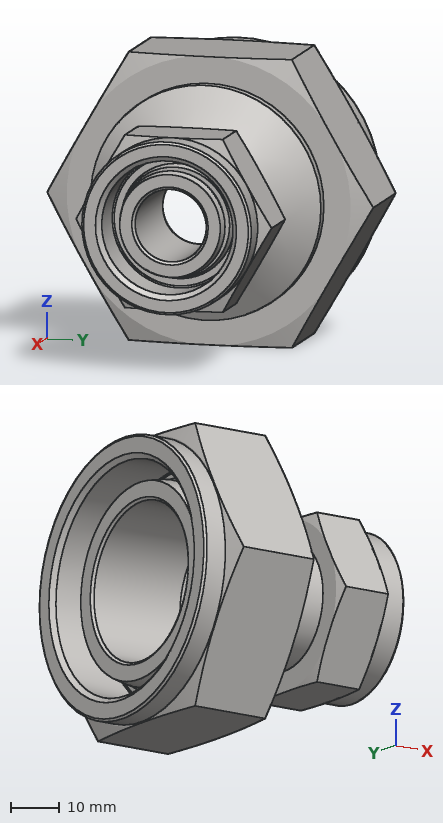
import cadquery as cq
import math

LENGTH = 58.3
CONE_SLOPE = math.tan(math.radians(12))
HEX_CHAMFER_SLOPE = math.tan(math.radians(15))
CUT_MARGIN = 6.9

LARGE_FLATS = 60.0
LARGE_NUT_LENGTH = 25.0
LARGE_COLLAR_RADIUS = 29.8
LARGE_COLLAR_LENGTH = 5.05
LARGE_HEX_FACE_RADIUS = 30.15
LARGE_BORE_RADIUS = 24.9
LARGE_MOUTH_RADIUS = 25.9

SMALL_FLATS = 35.95
SMALL_NUT_LENGTH = 17.4
SMALL_COLLAR_RADIUS = SMALL_FLATS / 2
SMALL_COLLAR_LENGTH = 5.5
SMALL_HEX_FACE_RADIUS = 18.15
SMALL_BORE_RADIUS = 13.9
SMALL_MOUTH_RADIUS = 14.95

COLLAR_CHAMFER = 0.5

LARGE_BODY_RADIUS = 24.45
NECK_RADIUS = 13.5
TAPER_START = 27.4
TAPER_END = 35.05
LARGE_TIP_X = 4.4
LARGE_SEAT_X = 13.5
LARGE_CONE_RADIUS = 22.8
SMALL_TIP_X = 55.2
SMALL_SEAT_X = 49.1
SMALL_CONE_RADIUS = 12.0
LARGE_GROOVE_TO_TIP = 3.3
LARGE_GROOVE_WIDTH = 2.9
LARGE_GROOVE_DEPTH = 1.4
SMALL_GROOVE_TO_TIP = 2.1
SMALL_GROOVE_WIDTH = 2.0
SMALL_GROOVE_DEPTH = 1.05
LARGE_PASSAGE_RADIUS = 16.9
SMALL_PASSAGE_RADIUS = 7.55
PASSAGE_TAPER_START = 26.45
PASSAGE_CHAMFER = 0.55


def revolve_about_x(points):
    """Solid of revolution about X from (x, radius) points."""
    return cq.Workplane("XY").polyline(points).close().revolve(360, (0, 0, 0), (1, 0, 0))


def chamfered_hexagon(flats, length, face_radius):
    """Hexagonal prism from x = 0, flats up and down, corners chamfered at both ends."""
    corner_diameter = flats / math.cos(math.radians(30))
    prism = cq.Workplane("YZ").polygon(6, corner_diameter).extrude(length)
    reach = corner_diameter / 2 + CUT_MARGIN
    setback = (reach - face_radius) * HEX_CHAMFER_SLOPE
    envelope = revolve_about_x([
        (0, 0),
        (0, face_radius),
        (setback, reach),
        (length - setback, reach),
        (length, face_radius),
        (length, 0),
    ])
    return prism.intersect(envelope)


def union_nut(flats, length, collar_radius, collar_length, face_radius,
              bore_radius, mouth_radius, seat_depth, rear_radius):
    """Nut with its open collar end at x = 0 and its rear bore fitting the adapter."""
    hexagon = chamfered_hexagon(flats, length - collar_length, face_radius)
    collar = cq.Workplane("YZ").circle(collar_radius).extrude(collar_length)
    collar = collar.faces("<X").chamfer(COLLAR_CHAMFER)
    mouth_depth = mouth_radius - bore_radius
    cavity = revolve_about_x([
        (0, 0),
        (0, mouth_radius),
        (mouth_depth, bore_radius),
        (seat_depth, bore_radius),
        (seat_depth, rear_radius),
        (length, rear_radius),
        (length, 0),
    ])
    return hexagon.translate((collar_length, 0, 0)).union(collar).cut(cavity)


def sealing_groove(start, width, depth, cone_end, cone_radius):
    """O-ring groove; its floor lies `depth` inside the cone at the groove's middle."""
    middle = start + width / 2
    floor_radius = cone_radius - abs(cone_end - middle) * CONE_SLOPE - depth
    ring = cq.Workplane("YZ").circle(cone_radius).circle(floor_radius).extrude(width)
    return ring.translate((start, 0, 0))


def reducing_adapter():
    large_tip_radius = LARGE_CONE_RADIUS - (LARGE_SEAT_X - LARGE_TIP_X) * CONE_SLOPE
    small_tip_radius = SMALL_CONE_RADIUS - (SMALL_TIP_X - SMALL_SEAT_X) * CONE_SLOPE
    outside = revolve_about_x([
        (LARGE_TIP_X, 0),
        (LARGE_TIP_X, large_tip_radius),
        (LARGE_SEAT_X, LARGE_CONE_RADIUS),
        (LARGE_SEAT_X, LARGE_BODY_RADIUS),
        (TAPER_START, LARGE_BODY_RADIUS),
        (TAPER_END, NECK_RADIUS),
        (SMALL_SEAT_X, NECK_RADIUS),
        (SMALL_SEAT_X, SMALL_CONE_RADIUS),
        (SMALL_TIP_X, small_tip_radius),
        (SMALL_TIP_X, 0),
    ])

    taper_ratio = (TAPER_END - TAPER_START) / (LARGE_BODY_RADIUS - NECK_RADIUS)
    passage_taper_length = (LARGE_PASSAGE_RADIUS - SMALL_PASSAGE_RADIUS) * taper_ratio
    passage = revolve_about_x([
        (LARGE_TIP_X, 0),
        (LARGE_TIP_X, LARGE_PASSAGE_RADIUS + PASSAGE_CHAMFER),
        (LARGE_TIP_X + PASSAGE_CHAMFER, LARGE_PASSAGE_RADIUS),
        (PASSAGE_TAPER_START, LARGE_PASSAGE_RADIUS),
        (PASSAGE_TAPER_START + passage_taper_length, SMALL_PASSAGE_RADIUS),
        (SMALL_TIP_X - PASSAGE_CHAMFER, SMALL_PASSAGE_RADIUS),
        (SMALL_TIP_X, SMALL_PASSAGE_RADIUS + PASSAGE_CHAMFER),
        (SMALL_TIP_X, 0),
    ])

    large_groove_start = LARGE_TIP_X + LARGE_GROOVE_TO_TIP
    large_groove = sealing_groove(large_groove_start, LARGE_GROOVE_WIDTH, LARGE_GROOVE_DEPTH,
                                  LARGE_SEAT_X, LARGE_CONE_RADIUS)
    small_groove_start = SMALL_TIP_X - SMALL_GROOVE_TO_TIP - SMALL_GROOVE_WIDTH
    small_groove = sealing_groove(small_groove_start, SMALL_GROOVE_WIDTH, SMALL_GROOVE_DEPTH,
                                  SMALL_SEAT_X, SMALL_CONE_RADIUS)
    return outside.cut(passage).cut(large_groove).cut(small_groove)


adapter = reducing_adapter()

large_nut = union_nut(LARGE_FLATS, LARGE_NUT_LENGTH, LARGE_COLLAR_RADIUS, LARGE_COLLAR_LENGTH,
                      LARGE_HEX_FACE_RADIUS, LARGE_BORE_RADIUS, LARGE_MOUTH_RADIUS,
                      LARGE_SEAT_X, LARGE_BODY_RADIUS)

small_nut = union_nut(SMALL_FLATS, SMALL_NUT_LENGTH, SMALL_COLLAR_RADIUS, SMALL_COLLAR_LENGTH,
                      SMALL_HEX_FACE_RADIUS, SMALL_BORE_RADIUS, SMALL_MOUTH_RADIUS,
                      LENGTH - SMALL_SEAT_X, NECK_RADIUS)
small_nut = small_nut.rotate((0, 0, 0), (0, 0, 1), 180).translate((LENGTH, 0, 0))

result = cq.Compound.makeCompound([adapter.val(), large_nut.val(), small_nut.val()])